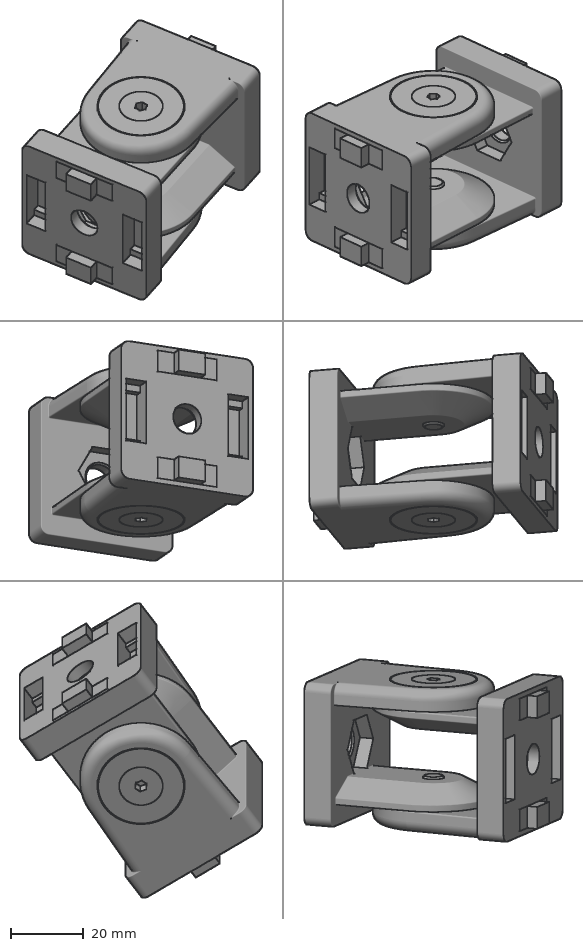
import cadquery as cq
import math

plate_size = 40.0
plate_thickness = 8.0
plate_outer_y = 30.0
plate_inner_y = plate_outer_y - plate_thickness
plate_corner_radius = 2.5
plate_edge_round = 0.25

nut_across_flats = 15.0
nut_recess_depth = 4.0
nut_recess_floor_y = plate_inner_y + nut_recess_depth
bolt_hole_diameter = 8.5
bolt_hole_chamfer = 0.5

pocket_offset = 15.5
pocket_height = 6.1
pocket_mouth_width = 18.0
pocket_mouth_depth = 4.0
pocket_floor_width = 14.0
pocket_floor_depth = 6.0
tongue_width = 8.0
tongue_length = 3.0

arm_radius = 16.75
edge_round = 0.4
arm_root = plate_inner_y + nut_recess_depth / 2
outer_arm_taper = 2.5
outer_arm_thickness = 6.0
outer_arm_crown = 3.0
joint_z = plate_size / 2 - outer_arm_thickness
inner_arm_rim = 2.0
inner_arm_slope_z = joint_z - inner_arm_rim
inner_arm_face_z = nut_across_flats / 2
inner_arm_face_radius = 8.5

cove_zone_half_width = 18.5
cove_zone_height = plate_size / 2 - 2 * plate_edge_round
margin = 0.01

disc_bore_diameter = 24.0
disc_diameter = 23.5
screw_head_diameter = 12.0
screw_head_height = 4.0
screw_diameter = 6.0
screw_tip_diameter = 4.92
screw_tip_length = (screw_diameter - screw_tip_diameter) / 2
socket_across_flats = 3.0
socket_depth = 3.0
socket_turn = -11.0


def hexagon_diameter(across_flats):
    return across_flats / math.cos(math.pi / 6)


def cylinder(diameter, bottom_z, top_z):
    return cq.Workplane("XY", origin=(0, 0, bottom_z)).circle(diameter / 2).extrude(top_z - bottom_z)


def block(width, y_start, y_end, height):
    """Box centred on the Y axis, running from y_start to y_end."""
    return cq.Workplane("XY").box(width, y_end - y_start, height).translate((0, (y_start + y_end) / 2, 0))


def arm_outline(radius, taper, base_z):
    """Round-nosed arm outline whose straight sides spread by the taper angle toward +Y."""
    angle = math.radians(taper)
    tangent_x = radius * math.cos(angle)
    tangent_y = -radius * math.sin(angle)
    root_x = tangent_x + (arm_root - tangent_y) * math.tan(angle)
    return (
        cq.Workplane("XY", origin=(0, 0, base_z))
        .moveTo(root_x, arm_root)
        .lineTo(tangent_x, tangent_y)
        .threePointArc((0, -radius), (-tangent_x, tangent_y))
        .lineTo(-root_x, arm_root)
        .close()
    )


def rounded_rim(arm, face, radius):
    """Round the edges of one flat face, except the straight edge at the arm root."""
    away_from_root = cq.selectors.BoxSelector(
        (-plate_size, -plate_size, -plate_size), (plate_size, arm_root - edge_round, plate_size))
    return arm.faces(face).edges(away_from_root).fillet(radius)


def make_outer_arm():
    arm = arm_outline(arm_radius, outer_arm_taper, joint_z).extrude(outer_arm_thickness)
    arm = rounded_rim(arm, ">Z", outer_arm_crown)
    return rounded_rim(arm, "<Z", edge_round)


def make_inner_arm():
    """Arm on the -Z side: a straight rim, then a slope rising to a narrower flat face."""
    rim = arm_outline(arm_radius, 0, -joint_z).extrude(inner_arm_rim)
    slope_height = inner_arm_slope_z - inner_arm_face_z
    draft = math.degrees(math.atan((arm_radius - inner_arm_face_radius) / slope_height))
    slope = (
        cq.Workplane("XY", origin=(0, 0, -inner_arm_slope_z))
        .slot2D(4 * plate_size, 2 * arm_radius, 90)
        .extrude(slope_height, taper=draft)
        .translate((0, 2 * plate_size - arm_radius, 0))
    )
    slope = slope.intersect(block(plate_size, -plate_size, arm_root, plate_size))
    arm = rim.union(slope)
    arm = rounded_rim(arm, ">Z", edge_round)
    ring = arm.edges(cq.selectors.BoxSelector(
        (-plate_size, -plate_size, -inner_arm_slope_z - edge_round),
        (plate_size, arm_root - edge_round, -inner_arm_slope_z + edge_round)))
    arm = ring.fillet(edge_round)
    return rounded_rim(arm, "<Z", edge_round)


def make_plate():
    plate = block(plate_size, plate_inner_y, plate_outer_y, plate_size)
    plate = plate.edges("|Y").fillet(plate_corner_radius)
    return plate.faces("<Y").edges().fillet(plate_edge_round)


def make_pocket_solid():
    """Solid filling a stepped pocket of the plate, on the Y axis."""
    mouth = block(pocket_mouth_width, plate_outer_y - pocket_mouth_depth, plate_outer_y, pocket_height)
    floor = block(pocket_floor_width, plate_outer_y - pocket_floor_depth, plate_outer_y, pocket_height)
    return mouth.union(floor)


def make_key(side):
    """Key filling the upper (+1) or lower (-1) pocket, with a tongue standing out of the plate."""
    tongue = block(tongue_width, plate_outer_y - pocket_mouth_depth,
                   plate_outer_y + tongue_length, pocket_height)
    return make_pocket_solid().union(tongue).translate((0, 0, side * pocket_offset))


def cut_pockets(housing):
    pocket = make_pocket_solid().translate((0, 0, pocket_offset))
    for quarter in range(4):
        housing = housing.cut(pocket.rotate((0, 0, 0), (0, 1, 0), 90 * quarter))
    return housing


def make_housing():
    """Plate at +Y with its outer arm on the +Z side and its inner arm on the -Z side."""
    housing = make_plate().union(make_outer_arm()).union(make_inner_arm())

    for low, high in ((-cove_zone_height, 0), (0, cove_zone_height)):
        root_edges = housing.edges(cq.selectors.BoxSelector(
            (-cove_zone_half_width, plate_inner_y - margin, low),
            (cove_zone_half_width, plate_inner_y + margin, high)))
        housing = root_edges.fillet(plate_edge_round)

    nut_recess = (
        cq.Workplane("XZ", origin=(0, nut_recess_floor_y, 0))
        .polygon(6, hexagon_diameter(nut_across_flats))
        .extrude(nut_recess_depth + plate_edge_round)
    )
    housing = housing.cut(nut_recess)
    bolt_hole = (
        cq.Workplane("XZ", origin=(0, plate_outer_y, 0))
        .circle(bolt_hole_diameter / 2)
        .extrude(plate_thickness)
    )
    bolt_hole_mouth = (
        cq.Workplane("XZ", origin=(0, nut_recess_floor_y + bolt_hole_chamfer, 0))
        .circle(bolt_hole_diameter / 2)
        .workplane(offset=bolt_hole_chamfer)
        .circle(bolt_hole_diameter / 2 + bolt_hole_chamfer)
        .loft()
    )
    housing = housing.cut(bolt_hole).cut(bolt_hole_mouth)

    disc_bore = cylinder(disc_bore_diameter, joint_z, plate_size / 2)
    screw_hole = cylinder(screw_diameter, -joint_z, -inner_arm_face_z)
    return cut_pockets(housing).cut(disc_bore).cut(screw_hole)


def make_disc():
    disc = cylinder(disc_diameter, joint_z, plate_size / 2)
    head_seat = cylinder(screw_head_diameter, plate_size / 2 - screw_head_height, plate_size / 2)
    screw_hole = cylinder(screw_diameter, joint_z, plate_size / 2)
    return disc.cut(head_seat).cut(screw_hole)


def make_screw():
    head_top = plate_size / 2
    head = cylinder(screw_head_diameter, head_top - screw_head_height, head_top)
    shank = cylinder(screw_diameter, inner_arm_face_z - screw_tip_length, head_top)
    shank = shank.faces("<Z").chamfer(screw_tip_length)
    socket = (
        cq.Workplane("XY", origin=(0, 0, head_top))
        .polygon(6, hexagon_diameter(socket_across_flats))
        .extrude(-socket_depth)
        .rotate((0, 0, 0), (0, 0, 1), socket_turn)
    )
    return head.union(shank).cut(socket)


half = [make_housing(), make_key(1), make_key(-1), make_disc(), make_screw()]
bodies = []
for half_turn in (0, 180):
    for body in half:
        bodies.append(body.rotate((0, 0, 0), (1, 0, 0), half_turn).val())

result = cq.Compound.makeCompound(bodies)